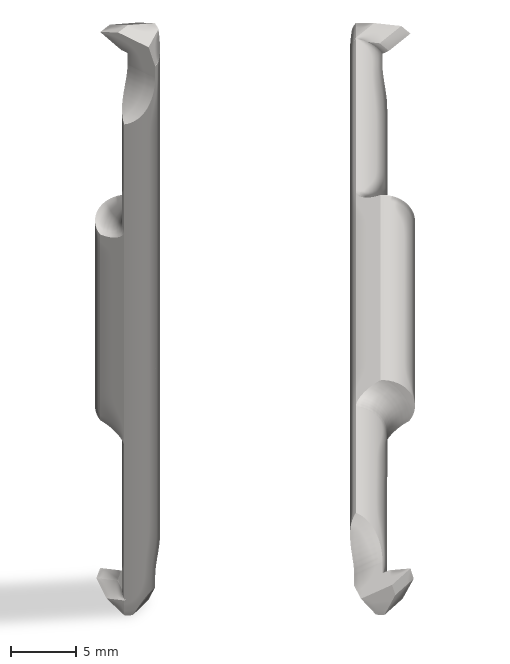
import cadquery as cq
import math

length = 70.0
bar_radius = 2.485
bar_thickness = 4.5
shank_half_length = 11.75
neck_left_x = 0.0
shoulder_radius = 1.9
rake_start_z = 31.5
runout_radius = 5.25

head_bottom_z = 33.0
tip_x = -2.45
tip_z = 33.95
top_left_x = -0.85
top_right_x = 1.9
heel_left_x = -0.55

land_depth = 1.0
land_angle = 15.0
relief_angle = 53.0
heel_angle = 8.0

half_length = length / 2
half_thickness = bar_thickness / 2
flat_end_x = math.sqrt(bar_radius**2 - half_thickness**2)
neck_sagitta = flat_end_x - neck_left_x
neck_radius = (neck_sagitta**2 + half_thickness**2) / (2 * neck_sagitta)
neck_axis_x = neck_left_x + neck_radius
clear = 4 * bar_radius


def make_round_bar(start_z, end_z):
    """Round bar with two parallel flats, between two heights."""
    height = end_z - start_z
    cylinder = cq.Workplane("XY").workplane(offset=start_z).circle(bar_radius).extrude(height)
    slab = (
        cq.Workplane("XY").workplane(offset=start_z)
        .rect(clear, bar_thickness)
        .extrude(height)
    )
    return cylinder.intersect(slab)


def make_neck_cutter():
    """Ring around the neck axis, ending in a concave shoulder at the shank."""
    shoulder_mid = shoulder_radius * (1 - math.sqrt(0.5))
    return (
        cq.Workplane("XZ")
        .moveTo(neck_radius, head_bottom_z)
        .lineTo(neck_radius, shank_half_length + shoulder_radius)
        .threePointArc(
            (neck_radius + shoulder_mid, shank_half_length + shoulder_mid),
            (neck_radius + shoulder_radius, shank_half_length),
        )
        .lineTo(clear, shank_half_length)
        .lineTo(clear, head_bottom_z)
        .close()
        .revolve(360, (0, 0, 0), (0, 1, 0))
        .translate((neck_axis_x, 0, 0))
    )


def make_rake_cutter():
    """Removes the -Y half at the end, down to a rounded run-out."""
    sweep = math.acos(1 - half_thickness / runout_radius)
    runout_end_z = rake_start_z - runout_radius * math.sin(sweep)
    mid_y = -runout_radius * (1 - math.cos(sweep / 2))
    mid_z = rake_start_z - runout_radius * math.sin(sweep / 2)
    return (
        cq.Workplane("YZ")
        .moveTo(0, half_length)
        .lineTo(0, rake_start_z)
        .threePointArc((mid_y, mid_z), (-half_thickness, runout_end_z))
        .lineTo(-clear, runout_end_z)
        .lineTo(-clear, half_length)
        .close()
        .extrude(clear, both=True)
    )


def make_head_layer(start_y, end_y, start_shift, end_shift):
    """Slice of the head whose flanks move in +X and whose heel moves in -X with depth."""
    def outline(y, flank_shift):
        heel_shift = y * math.tan(math.radians(heel_angle))
        points = [
            (heel_left_x + flank_shift, head_bottom_z),
            (tip_x + flank_shift, tip_z),
            (top_left_x + flank_shift, half_length),
            (top_right_x - heel_shift, half_length),
            (bar_radius - heel_shift, head_bottom_z),
        ]
        return cq.Wire.makePolygon([cq.Vector(x, y, z) for x, z in points], close=True)

    layer = cq.Solid.makeLoft([outline(start_y, start_shift), outline(end_y, end_shift)], True)
    return cq.Workplane(layer)


def make_head():
    """Pointed cutting head: a narrow land, then a steeper relief behind it."""
    land_shift = land_depth * math.tan(math.radians(land_angle))
    relief_depth = half_thickness - land_depth
    back_shift = land_shift + relief_depth * math.tan(math.radians(relief_angle))
    land = make_head_layer(0, land_depth, 0, land_shift)
    relief = make_head_layer(land_depth, half_thickness, land_shift, back_shift)
    return land.union(relief).intersect(make_round_bar(head_bottom_z, half_length))


def make_tool():
    """Double-ended bar: the lower end is the upper one turned half round the X axis."""
    tool = make_round_bar(-head_bottom_z, head_bottom_z)
    for turn in (0, 180):
        for cutter in (make_neck_cutter(), make_rake_cutter()):
            tool = tool.cut(cutter.rotate((0, 0, 0), (1, 0, 0), turn))
        tool = tool.union(make_head().rotate((0, 0, 0), (1, 0, 0), turn))
    return tool.clean()


boring_bar = make_tool()
result = cq.Compound.makeCompound([boring_bar.val()])